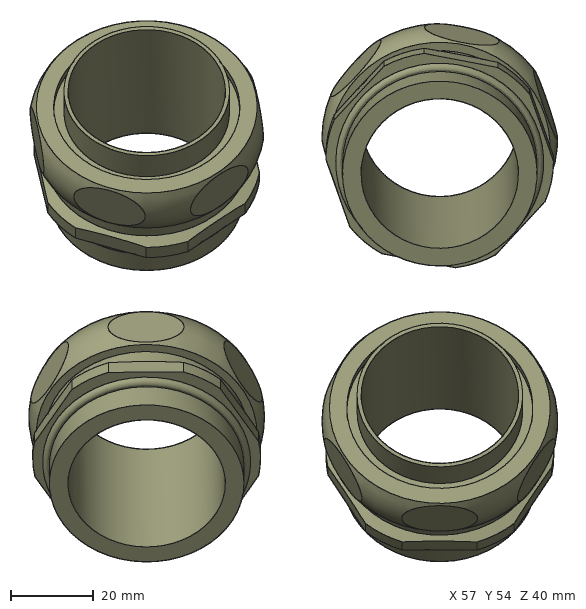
import cadquery as cq
import math

total_height = 40.0
seal_base = 7.45
collar_base = 10.05
collar_rim = 13.95
nut_base = 20.4
nut_top = 33.9
recess_depth = 2.0

bore_diameter = 38.0
inlet_diameter = 40.0
spigot_diameter = 47.0
body_diameter = 49.15
seal_diameter = 50.3
recess_diameter = 45.0
collar_diameter = 55.05
nut_diameter = 57.0
nut_end_diameter = 53.35

nut_across_flats = 54.0
collar_across_flats = 52.0
collar_slope_degrees = 15


def cylinder(diameter, base, top):
    return cq.Workplane("XY").workplane(offset=base).circle(diameter / 2).extrude(top - base)


def hexagon(across_flats, base, top):
    """Hexagonal prism with corners on X and flats facing +Y and -Y."""
    across_corners = across_flats / math.cos(math.radians(30))
    return cq.Workplane("XY").workplane(offset=base).polygon(6, across_corners).extrude(top - base)


def revolve_about_z(profile):
    return profile.close().revolve(360, (0, 0, 0), (0, 1, 0))


def make_nut():
    """Barrel-shaped nut with six flats and a shallow round recess on top."""
    middle = (nut_base + nut_top) / 2
    barrel = revolve_about_z(
        cq.Workplane("XZ")
        .moveTo(0, nut_base)
        .lineTo(nut_end_diameter / 2, nut_base)
        .threePointArc((nut_diameter / 2, middle), (nut_end_diameter / 2, nut_top))
        .lineTo(0, nut_top)
    )
    nut = barrel.intersect(hexagon(nut_across_flats, nut_base, nut_top))
    return nut.cut(cylinder(recess_diameter, nut_top - recess_depth, nut_top))


def make_collar():
    """Hexagonal collar with rounded corners and a conical top meeting the body."""
    body_radius = body_diameter / 2
    collar_radius = collar_diameter / 2
    slope = math.tan(math.radians(collar_slope_degrees))
    collar_top = collar_rim + (collar_radius - body_radius) * slope
    disc = revolve_about_z(
        cq.Workplane("XZ")
        .moveTo(0, collar_base)
        .lineTo(collar_radius, collar_base)
        .lineTo(collar_radius, collar_rim)
        .lineTo(body_radius, collar_top)
        .lineTo(0, collar_top)
    )
    return disc.intersect(hexagon(collar_across_flats, collar_base, collar_top))


def make_seal():
    """Sealing ring with a semicircular rim, seated under the collar."""
    rim_radius = (collar_base - seal_base) / 2
    rim_start = seal_diameter / 2 - rim_radius
    return revolve_about_z(
        cq.Workplane("XZ")
        .moveTo(0, seal_base)
        .lineTo(rim_start, seal_base)
        .threePointArc((seal_diameter / 2, seal_base + rim_radius), (rim_start, collar_base))
        .lineTo(0, collar_base)
    )


spigot = cylinder(spigot_diameter, 0, collar_base)
body = cylinder(body_diameter, collar_base, nut_base)
inlet = cylinder(inlet_diameter, nut_base, total_height)
bore = cylinder(bore_diameter, 0, total_height)

result = (
    spigot.union(make_seal())
    .union(make_collar())
    .union(body)
    .union(make_nut())
    .union(inlet)
    .cut(bore)
)